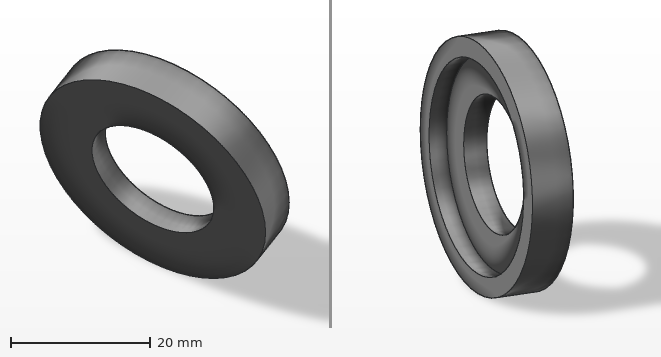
import cadquery as cq

OUTER_DIAMETER = 38.0
BORE_DIAMETER = 20.5
THICKNESS = 6.5

BORE_LENGTH = 3.7
COUNTERBORE_DIAMETER = 32.0

FRONT_Y = -THICKNESS / 2
BACK_Y = THICKNESS / 2


def cylinder_along_y(diameter, start_y, end_y):
    """Solid cylinder on the Y axis between two Y positions."""
    return cq.Workplane("XZ", origin=(0, start_y, 0)).circle(diameter / 2).extrude(start_y - end_y)


disc = cylinder_along_y(OUTER_DIAMETER, FRONT_Y, BACK_Y)
bore = cylinder_along_y(BORE_DIAMETER, FRONT_Y, BACK_Y)
counterbore = cylinder_along_y(COUNTERBORE_DIAMETER, FRONT_Y + BORE_LENGTH, BACK_Y)

result = disc.cut(bore).cut(counterbore)